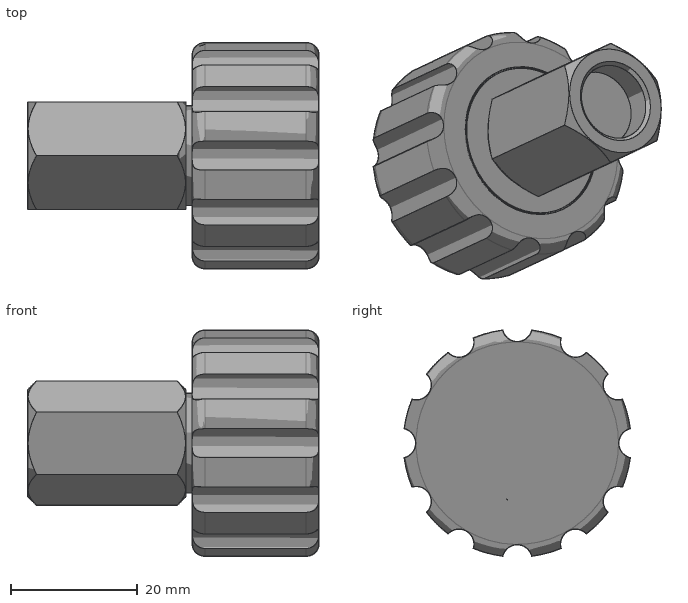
import cadquery as cq
import math

total_length = 46.0
hex_length = 25.02
neck_length = 0.95
knob_start = hex_length + neck_length
knob_length = total_length - knob_start

hex_across_flats = 17.0
hex_across_corners = hex_across_flats / math.cos(math.pi / 6)
hex_face_diameter = 16.85
hex_chamfer = (hex_across_corners - hex_face_diameter) / 2
neck_diameter = 15.8

bore_diameter = 11.8
bore_mouth_diameter = 12.9
bore_mouth_chamfer = (bore_mouth_diameter - bore_diameter) / 2
bore_depth = 5.0

knob_diameter = 36.0
knob_edge_radius = 2.02
flute_count = 12
flute_radius = 2.35
flute_floor_radius = 16.05
flute_centre_radius = flute_floor_radius + flute_radius

groove_outer_diameter = 24.0
groove_width = 0.25
groove_depth = 0.25


def disc(diameter, start, length):
    """Solid cylinder along +X beginning at the given X position."""
    return cq.Workplane("YZ", origin=(start, 0, 0)).circle(diameter / 2).extrude(length)


def make_shank():
    """Hexagonal bar with corners along Z, its points turned off at 45 degrees on both ends."""
    hexagon = (
        cq.Workplane("YZ")
        .transformed(rotate=(0, 0, 90))
        .polygon(6, hex_across_corners)
        .extrude(hex_length)
    )
    turned_envelope = disc(hex_across_corners, 0, hex_length).edges().chamfer(hex_chamfer)
    return hexagon.intersect(turned_envelope)


def make_knob():
    """Round knob with rounded rims and evenly spaced grip flutes."""
    knob = disc(knob_diameter, knob_start, knob_length).edges().fillet(knob_edge_radius)
    flutes = (
        cq.Workplane("YZ", origin=(knob_start, 0, 0))
        .polarArray(flute_centre_radius, 0, 360, flute_count)
        .circle(flute_radius)
        .extrude(knob_length)
    )
    return knob.cut(flutes)


def make_groove():
    """Narrow ring to remove from the knob face that meets the neck."""
    outer = disc(groove_outer_diameter, knob_start, groove_depth)
    return outer.cut(disc(groove_outer_diameter - 2 * groove_width, knob_start, groove_depth))


def make_bore():
    """Blind bore with a 45 degree countersunk mouth, to remove from the free end."""
    profile = (
        cq.Workplane("XY")
        .lineTo(0, bore_mouth_diameter / 2)
        .lineTo(bore_mouth_chamfer, bore_diameter / 2)
        .lineTo(bore_depth, bore_diameter / 2)
        .lineTo(bore_depth, 0)
        .close()
    )
    return profile.revolve(360, (0, 0, 0), (1, 0, 0))


neck = disc(neck_diameter, hex_length, neck_length)
result = make_shank().union(neck).union(make_knob()).cut(make_groove()).cut(make_bore())